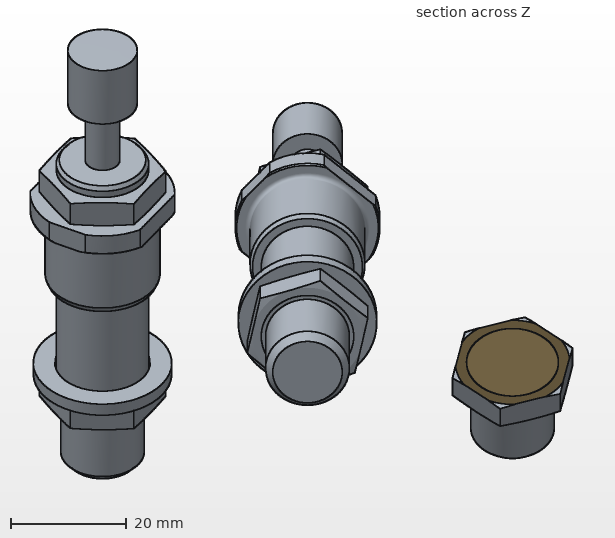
import cadquery as cq
import math


body_diameter = 16.0
tail_diameter = 14.5
end_diameter = 12.0
body_top_diameter = 15.0
body_top = 64.25
body_top_chamfer_height = 0.8
end_chamfer_height = 1.4

rod_diameter = 6.0
button_diameter = 12.0
button_bottom = 76.5
button_edge = 88.0
total_height = 88.5
rod_engagement = button_bottom - body_top

nut_across_flats = 19.0
nut_height = 5.0
nut_corner_drop = 0.3
lower_nut_bottom = 13.2

washer_diameter = 24.0
washer_bore = 16.5
washer_thickness = 2.4
washer_bottom = lower_nut_bottom + nut_height

sleeve_diameter = 19.9
sleeve_bottom = 38.7
sleeve_chamfer_height = 1.1
sleeve_chamfer_width = 0.4
flange_diameter = 25.05
flange_width_x = 22.0
flange_width_y = 24.0
flange_bottom = 53.1
flange_top = 57.2
flange_chamfer = 0.3
neck_fillet = 0.8


def cylinder(diameter, bottom, top):
    return cq.Workplane("XY").workplane(offset=bottom).circle(diameter / 2).extrude(top - bottom)


def make_body():
    """Cylinder with a stepped tail and a blind bore for the rod."""
    profile = [
        (0, 0),
        (end_diameter / 2, 0),
        (tail_diameter / 2, end_chamfer_height),
        (tail_diameter / 2, lower_nut_bottom),
        (body_diameter / 2, lower_nut_bottom),
        (body_diameter / 2, body_top - body_top_chamfer_height),
        (body_top_diameter / 2, body_top),
        (0, body_top),
    ]
    solid = cq.Workplane("XZ").polyline(profile).close().revolve(360, (0, 0), (0, 1))
    return solid.cut(cylinder(rod_diameter, body_top - rod_engagement, body_top))


def make_piston():
    """Rod and button; the button's top is a shallow spherical dome."""
    button_radius = button_diameter / 2
    dome_height = total_height - button_edge
    dome_radius = (button_radius**2 + dome_height**2) / (2 * dome_height)
    half_way = button_radius / 2
    dome_half_way = total_height - dome_radius + math.sqrt(dome_radius**2 - half_way**2)
    return (
        cq.Workplane("XZ")
        .moveTo(0, body_top - rod_engagement)
        .lineTo(rod_diameter / 2, body_top - rod_engagement)
        .lineTo(rod_diameter / 2, button_bottom)
        .lineTo(button_radius, button_bottom)
        .lineTo(button_radius, button_edge)
        .threePointArc((half_way, dome_half_way), (0, total_height))
        .close()
        .revolve(360, (0, 0), (0, 1))
    )


def make_nut(bottom):
    """Hex nut with corners on the Y axis, bevelled at both ends."""
    corner_radius = nut_across_flats / math.sqrt(3)
    flat_radius = nut_across_flats / 2
    top = bottom + nut_height
    hexagon = (
        cq.Workplane("XY")
        .workplane(offset=bottom)
        .transformed(rotate=(0, 0, 90))
        .polygon(6, 2 * corner_radius)
        .extrude(nut_height)
    )
    bevel_profile = [
        (0, bottom),
        (flat_radius, bottom),
        (corner_radius, bottom + nut_corner_drop),
        (corner_radius, top - nut_corner_drop),
        (flat_radius, top),
        (0, top),
    ]
    bevelled_blank = cq.Workplane("XZ").polyline(bevel_profile).close().revolve(360, (0, 0), (0, 1))
    return hexagon.intersect(bevelled_blank).cut(cylinder(body_diameter, bottom, top))


def make_washer():
    top = washer_bottom + washer_thickness
    return cylinder(washer_diameter, washer_bottom, top).cut(cylinder(washer_bore, washer_bottom, top))


def make_collar():
    """Sleeve filleted into a round flange that has two pairs of wrench flats."""
    flange = cylinder(flange_diameter, flange_bottom, flange_top).faces("<Z").edges().chamfer(flange_chamfer)
    flats = (
        cq.Workplane("XY")
        .workplane(offset=flange_bottom)
        .rect(flange_width_x, flange_width_y)
        .extrude(flange_top - flange_bottom)
    )
    sleeve_radius = sleeve_diameter / 2
    fillet_middle = neck_fillet * (1 - math.sqrt(0.5))
    sleeve = (
        cq.Workplane("XZ")
        .moveTo(0, sleeve_bottom)
        .lineTo(sleeve_radius - sleeve_chamfer_width, sleeve_bottom)
        .lineTo(sleeve_radius, sleeve_bottom + sleeve_chamfer_height)
        .lineTo(sleeve_radius, flange_bottom - neck_fillet)
        .threePointArc(
            (sleeve_radius + fillet_middle, flange_bottom - fillet_middle),
            (sleeve_radius + neck_fillet, flange_bottom),
        )
        .lineTo(0, flange_bottom)
        .close()
        .revolve(360, (0, 0), (0, 1))
    )
    bore = cylinder(body_diameter, sleeve_bottom, flange_top)
    return flange.intersect(flats).union(sleeve).cut(bore)


body = make_body()
piston = make_piston()
washer = make_washer()
collar = make_collar()
nuts = [make_nut(bottom) for bottom in (lower_nut_bottom, flange_top)]

result = cq.Compound.makeCompound(
    [body.val(), piston.val(), washer.val(), collar.val(), *[nut.val() for nut in nuts]]
)